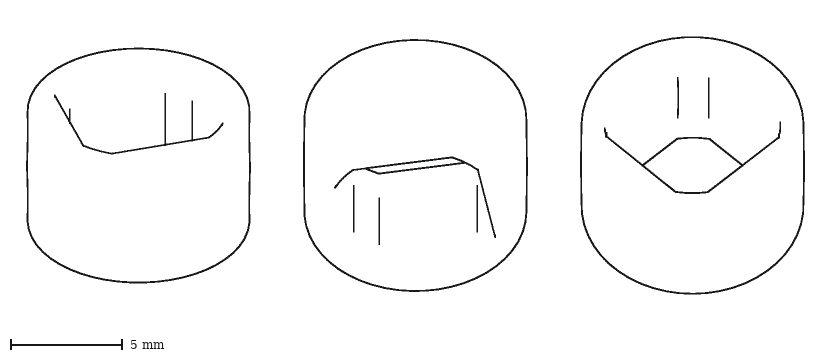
import cadquery as cq
import math

outer_diameter = 10.0
height = 6.35
draft_angle = 0.5
edge_radius = 0.3
hole_flats = 6.4
hole_corner_diameter = 7.8

half_height = height / 2


def hole_profile():
    """Square whose corners are cut by an arc about the axis."""
    flat = hole_flats / 2
    arc_radius = hole_corner_diameter / 2
    flat_end = math.sqrt(arc_radius**2 - flat**2)
    diagonal = arc_radius * math.sqrt(0.5)
    return (
        cq.Workplane("XY")
        .moveTo(flat, -flat_end)
        .lineTo(flat, flat_end)
        .threePointArc((diagonal, diagonal), (flat_end, flat))
        .lineTo(-flat_end, flat)
        .threePointArc((-diagonal, diagonal), (-flat, flat_end))
        .lineTo(-flat, -flat_end)
        .threePointArc((-diagonal, -diagonal), (-flat_end, -flat))
        .lineTo(flat_end, -flat)
        .threePointArc((diagonal, -diagonal), (flat, -flat_end))
        .close()
    )


body = cq.Workplane("XY").circle(outer_diameter / 2).extrude(half_height, taper=draft_angle)
hole = hole_profile().extrude(half_height, taper=-draft_angle)
upper_half = body.cut(hole).faces(">Z").edges().fillet(edge_radius)

result = upper_half.union(upper_half.mirror("XY"))